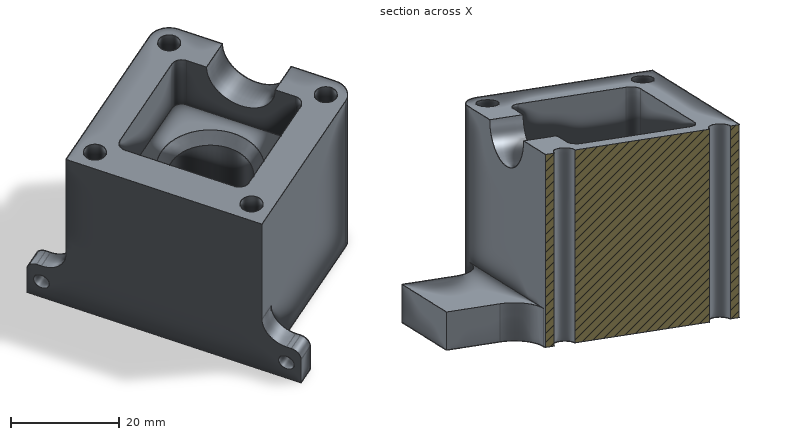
import cadquery as cq

block_side = 40.0
block_height = 37.5
back_corner_radius = 4.0
half_block = block_side / 2

pocket_side = 26.3
pocket_depth = 11.4
pocket_corner_radius = 2.0
bore_diameter = 16.0
bore_chamfer = 2.0

notch_diameter = 14.0

cover_hole_diameter = 4.2
cover_hole_spacing = 32.0

plate_width = 56.0
plate_thickness = 4.0
ear_height = 8.0
ear_corner_radius = 2.0
ear_fillet_radius = 5.0
ear_hole_diameter = 3.2
ear_hole_spacing = 50.0

overall_length = 57.0
tongue_length = overall_length - block_side
tongue_width = 18.4
tongue_height = 7.4
tongue_fillet_radius = 6.0

CORNER_FACTOR = 0.5 ** 0.5


def make_block():
    block = cq.Workplane("XY").box(block_side, block_side, block_height, centered=(True, True, False))
    return block.edges("|Z and >Y").fillet(back_corner_radius)


def flared_fillet(wall, base, radius, side):
    """Profile of the concave fillet between a wall and a base line; side is +1 or -1."""
    near = radius * (1 - CORNER_FACTOR)
    return (
        cq.Sketch()
        .segment((wall, base), (wall + side * radius, base))
        .arc((wall + side * radius, base), (wall + side * near, base + near), (wall, base + radius))
        .segment((wall, base + radius), (wall, base))
        .assemble()
    )


def make_ears():
    front = cq.Workplane("XZ", origin=(0, -half_block, 0))
    ears = front.center(0, ear_height / 2).rect(plate_width, ear_height).extrude(-plate_thickness)
    ears = ears.edges("|Y and >Z").fillet(ear_corner_radius)
    for side in (-1, 1):
        profile = flared_fillet(side * half_block, ear_height, ear_fillet_radius, side)
        ears = ears.union(front.placeSketch(profile).extrude(-plate_thickness))
    return ears


def make_tongue():
    tongue = (
        cq.Workplane("XY")
        .center(0, half_block + tongue_length / 2)
        .rect(tongue_width, tongue_length)
        .extrude(tongue_height)
    )
    for side in (-1, 1):
        profile = flared_fillet(side * tongue_width / 2, half_block, tongue_fillet_radius, side)
        tongue = tongue.union(cq.Workplane("XY").placeSketch(profile).extrude(tongue_height))
    return tongue


def make_pocket_and_bore():
    floor_height = block_height - pocket_depth
    pocket = (
        cq.Workplane("XY", origin=(0, 0, floor_height))
        .rect(pocket_side, pocket_side)
        .extrude(pocket_depth)
        .edges("|Z")
        .fillet(pocket_corner_radius)
    )
    bore_radius = bore_diameter / 2
    bore = (
        cq.Workplane("XZ")
        .moveTo(0, 0)
        .lineTo(bore_radius, 0)
        .lineTo(bore_radius, floor_height - bore_chamfer)
        .lineTo(bore_radius + bore_chamfer, floor_height)
        .lineTo(0, floor_height)
        .close()
        .revolve(360, (0, 0), (0, 1))
    )
    return pocket.union(bore)


def make_notch():
    return (
        cq.Workplane("XZ", origin=(0, half_block, block_height))
        .circle(notch_diameter / 2)
        .extrude(half_block)
    )


def make_cover_holes():
    return (
        cq.Workplane("XY")
        .rect(cover_hole_spacing, cover_hole_spacing, forConstruction=True)
        .vertices()
        .circle(cover_hole_diameter / 2)
        .extrude(block_height)
    )


def make_ear_holes():
    half_spacing = ear_hole_spacing / 2
    return (
        cq.Workplane("XZ", origin=(0, -half_block, ear_height / 2))
        .pushPoints([(-half_spacing, 0), (half_spacing, 0)])
        .circle(ear_hole_diameter / 2)
        .extrude(-plate_thickness)
    )


result = make_block().union(make_ears()).union(make_tongue())
for opening in (make_pocket_and_bore(), make_notch(), make_cover_holes(), make_ear_holes()):
    result = result.cut(opening)